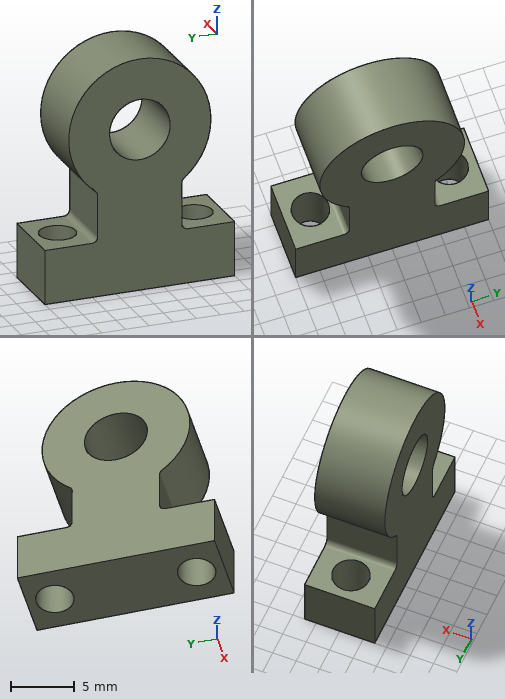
import cadquery as cq

thickness = 6.0
base_width = 16.0
base_height = 4.6
mount_hole_diameter = 3.0
mount_hole_spacing = 11.5

total_height = 19.64
ring_diameter = 12.0
bore_diameter = 5.1
neck_width = 7.1
neck_fillet = 0.5

ring_radius = ring_diameter / 2
ring_center_height = total_height - ring_radius


def block(width, height):
    """Block centred on X and Y, standing on the bottom plane."""
    return cq.Workplane("XY").box(thickness, width, height, centered=(True, True, False))


def ring_cylinder(diameter):
    """Cylinder along X through the full thickness, at the ring centre."""
    return (
        cq.Workplane("YZ", origin=(-thickness / 2, 0, ring_center_height))
        .circle(diameter / 2)
        .extrude(thickness)
    )


body = block(base_width, base_height)
body = body.union(block(neck_width, ring_center_height))
body = body.union(ring_cylinder(ring_diameter))

neck_half = neck_width / 2
neck_top = ring_center_height - (ring_radius**2 - neck_half**2) ** 0.5
margin = 0.02
corner_edges = cq.selectors.BoxSelector(
    (-thickness, -neck_half - margin, base_height - margin),
    (thickness, neck_half + margin, neck_top + margin),
)
body = body.edges("|X").edges(corner_edges).fillet(neck_fillet)

body = body.cut(ring_cylinder(bore_diameter))
mount_holes = (
    cq.Workplane("XY")
    .rarray(0.2, mount_hole_spacing, 1, 2)
    .circle(mount_hole_diameter / 2)
    .extrude(base_height)
)
result = body.cut(mount_holes)